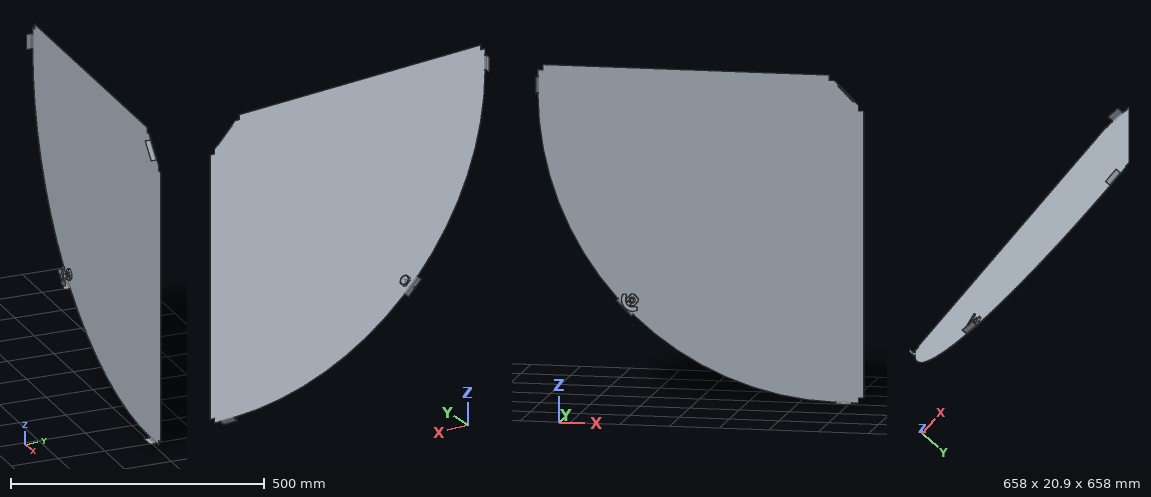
import cadquery as cq
import math


OVERALL = 658.0
SHEET = 1.0
END_FLANGE_STEP = 2.0
SLANT_FLANGE_STEP = 1.0
PANEL_SIDE = OVERALL - END_FLANGE_STEP
CORNER_INSET = 54.5
ARC_RADIUS = PANEL_SIDE - CORNER_INSET
NOTCH = 10.5
CHAMFER_NEAR = 59.0
CHAMFER_NOTCH = 70.0

FLANGE_DEPTH = 13.0
BEND_RADIUS = 2.0
BEND_OUTER_RADIUS = BEND_RADIUS + SHEET
BEND_RELIEF = 1.0
END_FLANGE_LENGTH = 32.0
END_FLANGE_OFFSET = 41.0
SLANT_FLANGE_LENGTH = 43.5

STUD_EDGE_GAP = 21.0
HEAD_RADIUS = 9.0
HEAD_HEIGHT = 2.5
SHANK_RADIUS = 3.0
PLATE_SIDE = 20.5
PLATE_DIAGONAL = 24.0
PLATE_HEIGHT = 4.0
STUD_END_HEIGHT = 3.0

HUB_RADIUS = 6.0
HUB_HEIGHT = 2.5
BOW_RADIUS = 18.5
BOW_WIDTH = 8.5
BOW_HEIGHT = 3.0
BOW_HALF_ANGLE = 66.0
BOW_CENTRE_SHIFT = 2.5
BOW_TILT = 12.0
BOW_LIFT = 12.5
NECK_WIDTH = 8.0
NECK_START = 5.0

SQRT_HALF = math.sqrt(0.5)
STUD_INSET = CORNER_INSET + (ARC_RADIUS - STUD_EDGE_GAP) * SQRT_HALF
PLATE_FRONT = SHEET + PLATE_HEIGHT


def latch_frame(depth):
    """Plane square to the stud axis: local x runs along the curved edge toward +X -Z,
    local y points inward to the square corner, and local z points to -Y."""
    return cq.Plane(
        origin=(-STUD_INSET, -depth, -STUD_INSET), xDir=(1, 0, -1), normal=(0, -1, 0)
    )


def on_edge(shape, middle_x, middle_z, outward_angle):
    """Turn a shape built facing +X outward by an angle from +X toward +Z, and place it."""
    return shape.rotate((0, 0, 0), (0, 1, 0), -outward_angle).translate((middle_x, 0, middle_z))


def make_flange(length):
    """Edge strip bent from the sheet toward -Y, with its outer face on x = 0."""
    bend_sag = BEND_OUTER_RADIUS * (1 - SQRT_HALF)
    inner_middle = -BEND_OUTER_RADIUS + BEND_RADIUS * SQRT_HALF
    return (
        cq.Workplane("XY")
        .moveTo(-BEND_OUTER_RADIUS, 0)
        .threePointArc((-bend_sag, -bend_sag), (0, -BEND_OUTER_RADIUS))
        .lineTo(0, -FLANGE_DEPTH)
        .lineTo(-SHEET, -FLANGE_DEPTH)
        .lineTo(-SHEET, -BEND_OUTER_RADIUS)
        .threePointArc((inner_middle, inner_middle), (-BEND_OUTER_RADIUS, -SHEET))
        .close()
        .extrude(length / 2, both=True)
    )


def make_bend_clearance(length):
    """Sheet edge removed back to the bend line, including the relief slots."""
    size = 2 * BEND_OUTER_RADIUS
    return cq.Workplane("XY").box(size, size, length + 2 * BEND_RELIEF)


def make_sheet():
    half_flat = SLANT_FLANGE_LENGTH / 2
    flat_reach = math.sqrt(ARC_RADIUS**2 - half_flat**2)
    near = CORNER_INSET + (flat_reach - half_flat) * SQRT_HALF
    far = CORNER_INSET + (flat_reach + half_flat) * SQRT_HALF
    half_sweep = (math.pi / 4 - math.asin(half_flat / ARC_RADIUS)) / 2
    arc_near = CORNER_INSET + ARC_RADIUS * math.sin(half_sweep)
    arc_far = CORNER_INSET + ARC_RADIUS * math.cos(half_sweep)
    return (
        cq.Workplane("XZ")
        .moveTo(-PANEL_SIDE + NOTCH, 0)
        .lineTo(-CHAMFER_NOTCH, 0)
        .lineTo(-CHAMFER_NOTCH, -NOTCH)
        .lineTo(-CHAMFER_NEAR, -NOTCH)
        .lineTo(-NOTCH, -CHAMFER_NEAR)
        .lineTo(-NOTCH, -CHAMFER_NOTCH)
        .lineTo(0, -CHAMFER_NOTCH)
        .lineTo(0, -PANEL_SIDE + NOTCH)
        .lineTo(-NOTCH, -PANEL_SIDE + NOTCH)
        .lineTo(-NOTCH, -PANEL_SIDE)
        .lineTo(-CORNER_INSET, -PANEL_SIDE)
        .threePointArc((-arc_near, -arc_far), (-near, -far))
        .lineTo(-far, -near)
        .threePointArc((-arc_far, -arc_near), (-PANEL_SIDE, -CORNER_INSET))
        .lineTo(-PANEL_SIDE, -NOTCH)
        .lineTo(-PANEL_SIDE + NOTCH, -NOTCH)
        .close()
        .extrude(SHEET)
    )


def make_panel():
    step_xz = SLANT_FLANGE_STEP * SQRT_HALF
    cut_corner = (NOTCH + CHAMFER_NEAR) / 2 - step_xz
    arc_middle = CORNER_INSET + ARC_RADIUS * SQRT_HALF + step_xz
    hole = cq.Workplane(latch_frame(0)).circle(SHANK_RADIUS).extrude(SHEET)
    panel = make_sheet().cut(hole)
    for middle_x, middle_z, outward_angle, length in (
        (-OVERALL, -END_FLANGE_OFFSET, 180, END_FLANGE_LENGTH),
        (-END_FLANGE_OFFSET, -OVERALL, 270, END_FLANGE_LENGTH),
        (-cut_corner, -cut_corner, 45, SLANT_FLANGE_LENGTH),
        (-arc_middle, -arc_middle, 225, SLANT_FLANGE_LENGTH),
    ):
        place = (middle_x, middle_z, outward_angle)
        panel = panel.cut(on_edge(make_bend_clearance(length), *place))
        panel = panel.union(on_edge(make_flange(length), *place))
    return panel


def make_stud():
    head = cq.Workplane(latch_frame(-HEAD_HEIGHT)).circle(HEAD_RADIUS).extrude(HEAD_HEIGHT)
    shank_length = PLATE_FRONT + STUD_END_HEIGHT
    shank = cq.Workplane(latch_frame(0)).circle(SHANK_RADIUS).extrude(shank_length)
    plate = cq.Workplane(latch_frame(SHEET)).rect(PLATE_SIDE, PLATE_SIDE).extrude(PLATE_HEIGHT)
    corner_trim = (
        cq.Workplane(latch_frame(SHEET))
        .transformed(rotate=(0, 0, 45))
        .rect(PLATE_DIAGONAL, PLATE_DIAGONAL)
        .extrude(PLATE_HEIGHT)
    )
    return head.union(shank).union(plate.intersect(corner_trim))


def make_bow():
    """Round-ended circular band, tilted so its +X end stands further from the panel."""
    inner = BOW_RADIUS - BOW_WIDTH / 2
    outer = BOW_RADIUS + BOW_WIDTH / 2
    end_x = math.sin(math.radians(BOW_HALF_ANGLE))
    end_y = -math.cos(math.radians(BOW_HALF_ANGLE))
    plane = latch_frame(BOW_LIFT).rotated((0, -BOW_TILT, 0))
    band = (
        cq.Workplane(plane)
        .center(0, BOW_CENTRE_SHIFT)
        .moveTo(-outer * end_x, outer * end_y)
        .threePointArc((0, -outer), (outer * end_x, outer * end_y))
        .lineTo(inner * end_x, inner * end_y)
        .threePointArc((0, -inner), (-inner * end_x, inner * end_y))
        .close()
        .extrude(BOW_HEIGHT / 2, both=True)
    )
    ends = (
        cq.Workplane(plane)
        .center(0, BOW_CENTRE_SHIFT)
        .pushPoints([(side * BOW_RADIUS * end_x, BOW_RADIUS * end_y) for side in (-1, 1)])
        .circle(BOW_WIDTH / 2)
        .extrude(BOW_HEIGHT / 2, both=True)
    )
    return band.union(ends)


def make_lever():
    hub = cq.Workplane(latch_frame(PLATE_FRONT)).circle(HUB_RADIUS).extrude(HUB_HEIGHT)
    neck_end = BOW_RADIUS - BOW_CENTRE_SHIFT
    neck = (
        cq.Workplane(latch_frame(PLATE_FRONT))
        .center(0, -(NECK_START + neck_end) / 2)
        .rect(NECK_WIDTH, neck_end - NECK_START)
        .extrude(BOW_LIFT - PLATE_FRONT)
    )
    bore = cq.Workplane(latch_frame(PLATE_FRONT)).circle(SHANK_RADIUS).extrude(BOW_LIFT)
    return hub.union(neck).cut(bore).union(make_bow())


panel = make_panel()
stud = make_stud()
lever = make_lever()

result = cq.Compound.makeCompound([panel.val(), stud.val(), lever.val()])